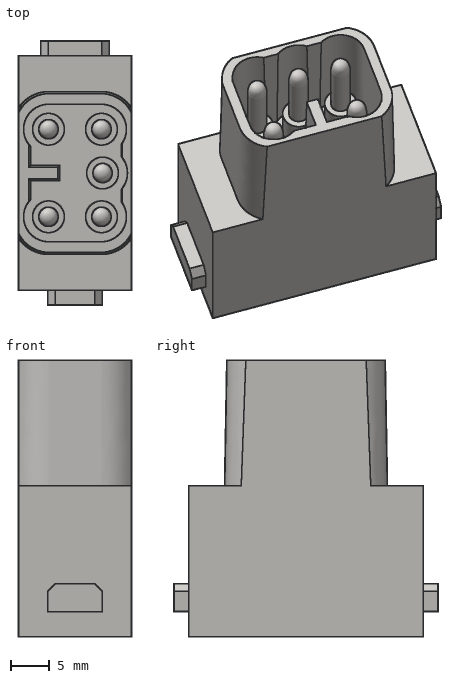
import cadquery as cq
import math

BODY_X = 14.6
BODY_Y = 30.3
BODY_Z = 19.5

SHROUD_HEIGHT = 16.2
SHROUD_BASE_X = 16.0
SHROUD_BASE_Y = 21.04
SHROUD_BASE_RADIUS = 4.6
SHROUD_TOP_Z = BODY_Z + SHROUD_HEIGHT
DRAFT_ANGLE = 1.0

CORNER_PIN_X = 3.42
CORNER_PIN_Y = 5.65
MIDDLE_PIN_X = 3.56
PIN_RADIUS = 1.25
PIN_TIP_FLAT_RADIUS = 0.15
DOME_BASE_RADIUS = 1.16
DOME_HEIGHT = 0.95
DOME_NECK_HEIGHT = 0.55
PIN_RECESS = 1.68
PIN_TOP_Z = SHROUD_TOP_Z - PIN_RECESS
COLLAR_RADIUS = 2.05
COLLAR_RECESS = 10.9
COLLAR_TOP_Z = SHROUD_TOP_Z - COLLAR_RECESS

CAVITY_DEPTH = 15.0
CAVITY_FLOOR_Z = SHROUD_TOP_Z - CAVITY_DEPTH
LEFT_WALL_X = -6.0
RIGHT_WALL_X = 6.12
RIGHT_WALL_DRAFT_ANGLE = 0.6
SCALLOP_RADIUS = 3.22
CAVITY_HALF_Y = CORNER_PIN_Y + SCALLOP_RADIUS

RIB_TOP_END_X = -2.21
RIB_TOP_WIDTH = 1.5

EAR_LENGTH = 1.9
EAR_BOTTOM_Z = 3.25
EAR_TOP_Z = 6.85
EAR_CHAMFER = 1.0
FRONT_EAR_WIDTH = 7.1
BACK_EAR_WIDTH = 8.9

CORNER_PINS = [(sx * CORNER_PIN_X, sy * CORNER_PIN_Y) for sx in (-1, 1) for sy in (-1, 1)]
MIDDLE_PIN = (MIDDLE_PIN_X, 0)
PINS = CORNER_PINS + [MIDDLE_PIN]


def make_body():
    return cq.Workplane("XY").box(BODY_X, BODY_Y, BODY_Z, centered=(True, True, False))


def make_shroud():
    """Drafted rounded rectangle trimmed to the body's width."""
    outline = cq.Sketch().rect(SHROUD_BASE_X, SHROUD_BASE_Y).vertices().fillet(SHROUD_BASE_RADIUS)
    shroud = cq.Workplane("XY").workplane(offset=BODY_Z).placeSketch(outline)
    shroud = shroud.extrude(SHROUD_HEIGHT, taper=DRAFT_ANGLE)
    side_limits = cq.Workplane("XY").box(BODY_X, BODY_Y, SHROUD_TOP_Z, centered=(True, True, False))
    return shroud.intersect(side_limits)


def make_wall_pocket(wall_x, draft):
    """Drafted pocket from the flat wall at wall_x to halfway across the opposite side."""
    inner_x = -wall_x / 2
    rim = cq.Workplane("XY").workplane(offset=SHROUD_TOP_Z).center((wall_x + inner_x) / 2, 0)
    return rim.rect(abs(wall_x - inner_x), 2 * CORNER_PIN_Y).extrude(-CAVITY_DEPTH, taper=draft)


def make_cavity():
    """Pocket bounded by flat walls, with round clearance around every pin."""
    rim = cq.Workplane("XY").workplane(offset=SHROUD_TOP_Z)
    cavity = rim.rect(2 * CORNER_PIN_X, 2 * CAVITY_HALF_Y).extrude(-CAVITY_DEPTH)
    cavity = cavity.union(make_wall_pocket(LEFT_WALL_X, DRAFT_ANGLE))
    cavity = cavity.union(make_wall_pocket(RIGHT_WALL_X, RIGHT_WALL_DRAFT_ANGLE))
    return cavity.union(rim.pushPoints(PINS).circle(SCALLOP_RADIUS).extrude(-CAVITY_DEPTH))


def make_rib():
    """Tapered rib reaching from inside the -X shroud wall to its free end."""
    growth = CAVITY_DEPTH * math.tan(math.radians(DRAFT_ANGLE))
    root_x = (LEFT_WALL_X - BODY_X / 2) / 2
    length = RIB_TOP_END_X - root_x
    return (
        cq.Workplane("XY")
        .workplane(offset=CAVITY_FLOOR_Z)
        .center(root_x + length / 2, 0)
        .rect(length + 2 * growth, RIB_TOP_WIDTH + 2 * growth)
        .extrude(CAVITY_DEPTH, taper=DRAFT_ANGLE)
    )


def make_collars():
    """Cylindrical collars standing on the cavity floor around the pins."""
    floor = cq.Workplane("XY").workplane(offset=CAVITY_FLOOR_Z)
    return floor.pushPoints(PINS).circle(COLLAR_RADIUS).extrude(COLLAR_TOP_Z - CAVITY_FLOOR_Z)


def make_pin():
    """Round pin with a short conical neck and a domed tip ending in a tiny flat."""
    dome_base_z = PIN_TOP_Z - DOME_HEIGHT
    return (
        cq.Workplane("XZ")
        .moveTo(0, PIN_TOP_Z)
        .lineTo(PIN_TIP_FLAT_RADIUS, PIN_TOP_Z)
        .tangentArcPoint((DOME_BASE_RADIUS, dome_base_z), relative=False)
        .lineTo(PIN_RADIUS, dome_base_z - DOME_NECK_HEIGHT)
        .lineTo(PIN_RADIUS, CAVITY_FLOOR_Z)
        .lineTo(0, CAVITY_FLOOR_Z)
        .close()
        .revolve(360, (0, 0, 0), (0, 1, 0))
    )


def make_ear(width, side):
    """Ear on the end face at side * Y, with its two upper corners chamfered."""
    center_y = side * (BODY_Y + EAR_LENGTH) / 2
    height = EAR_TOP_Z - EAR_BOTTOM_Z
    ear = cq.Workplane("XY").box(width, EAR_LENGTH, height, centered=(True, True, False))
    ear = ear.faces(">Z").edges("|Y").chamfer(EAR_CHAMFER)
    return ear.translate((0, center_y, EAR_BOTTOM_Z))


result = make_body().union(make_shroud())
result = result.cut(make_cavity()).union(make_rib())
result = result.union(make_collars())
for pin_x, pin_y in PINS:
    result = result.union(make_pin().translate((pin_x, pin_y, 0)))
result = result.union(make_ear(FRONT_EAR_WIDTH, -1)).union(make_ear(BACK_EAR_WIDTH, 1))